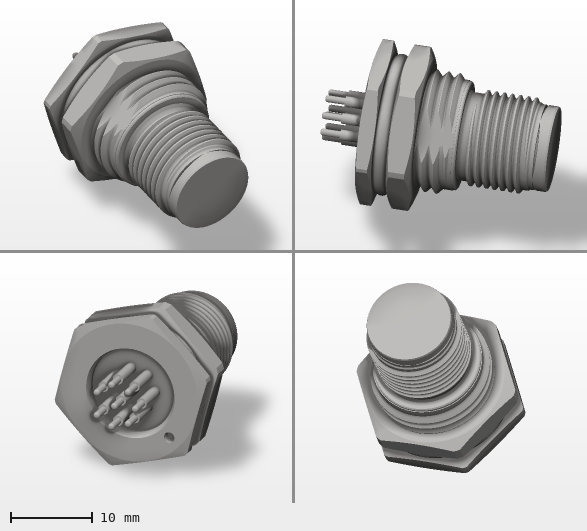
import cadquery as cq
import math


OVERALL_LENGTH = 28.5

HEX_APOTHEM = 9.0
HEX_TURN = -15.0
FLANGE_LENGTH = 2.0
FLANGE_CORNER_RADIUS = 10.25
FLANGE_FACE_RADIUS = 8.95
FLANGE_CHAMFER_LENGTH = 0.3
NUT_START = 3.75
NUT_LENGTH = 3.08
NUT_END = NUT_START + NUT_LENGTH
NUT_CORNER_RADIUS = 10.17
NUT_FACE_RADIUS = 8.7
NUT_CHAMFER_LENGTH = 0.55

SEAL_CENTRE = (FLANGE_LENGTH + NUT_START) / 2
SEAL_SECTION_RADIUS = (NUT_START - FLANGE_LENGTH) / 2
SEAL_OUTER_RADIUS = 8.78

PANEL_ROOT_RADIUS = 6.85
PANEL_CREST_RADIUS = 7.52
PANEL_END = 11.95
PANEL_LAND_START = 11.5
PANEL_LAND_RADIUS = 6.75
PANEL_CHAMFER = 0.15
PANEL_CREST_WIDTH = 0.09
PANEL_BASE_WIDTH = 1.3
PANEL_FIRST_CREST = 6.25
PANEL_LAST_CREST = 10.45
PANEL_TURNS = 3
PANEL_PITCH = (PANEL_LAST_CREST - PANEL_FIRST_CREST) / PANEL_TURNS
PANEL_LEAD_IN = 90.0
PANEL_LEAD_OUT = 120.0

FLAT_DISTANCE = 6.78
FLAT_TILT = 45.0

NECK_ROOT_RADIUS = 5.47
NECK_FLARE_RADIUS = 5.73
NECK_FLARE_LENGTH = 0.37
NECK_END = 20.85
NECK_CHAMFER = 0.17
NOSE_RADIUS = NECK_ROOT_RADIUS - NECK_CHAMFER
NOSE_END = 23.0
NOSE_CHAMFER_LENGTH = 0.23
NOSE_CHAMFER_DEPTH = 0.09
NOTCH_COUNT = 4
NOTCH_HALF_ANGLE = 44.0
NOTCH_START = 21.38
NOTCH_SLOPE = 0.22
NOTCH_FLOOR_RADIUS = 4.9
COUPLING_CREST_RADIUS = 5.98
COUPLING_PITCH = 1.0
COUPLING_CREST_WIDTH = 0.2
COUPLING_BASE_WIDTH = 0.8
COUPLING_FIRST_CREST = 13.2
COUPLING_TURNS = 7
COUPLING_LEAD_IN = 28.0
COUPLING_LEAD_OUT = 88.0

THREAD_FADE = 110.0
THREAD_SINK = 0.09
THREAD_POINTS_PER_TURN = 24

RECESS_DEPTH = 1.48
RECESS_TAPER_LENGTH = 0.9
RECESS_FLOOR_RADIUS = 5.45
RECESS_RIM_RADIUS = 5.8
RECESS_RIM_SHIFT = -0.09
MARKER_OFFSET = -5.2
MARKER_RADIUS = 0.68
MARKER_DEPTH = 1.15
PIN_END = NOSE_END - OVERALL_LENGTH
PIN_SHOULDER = -3.0
PIN_RADIUS = 0.65
PIN_TIP_RADIUS = 0.43
PIN_TIP_ROUNDING = 0.35
PIN_CIRCLE_RADIUS = 2.75
PIN_SPACING = 49.0
PINS_EACH_SIDE = 3


def revolve_about_x(points):
    """Solid of revolution from (x, radius) points."""
    return cq.Workplane("XY").polyline(points).close().revolve(360, (0, 0, 0), (1, 0, 0))


def cylinder(start, end, radius, y=0.0, z=0.0):
    """Cylinder along X between two stations."""
    return cq.Workplane("YZ", origin=(start, y, z)).circle(radius).extrude(end - start)


def chamfered_hexagon(start, length, corner_radius, face_radius, chamfer_length):
    """Hexagonal prism along X with turned corners and a conical chamfer at both ends."""
    end = start + length
    prism = (
        cq.Workplane("YZ", origin=(start, 0, 0))
        .polygon(6, 2 * HEX_APOTHEM / math.cos(math.pi / 6))
        .extrude(length)
        .rotate((0, 0, 0), (1, 0, 0), HEX_TURN)
    )
    envelope = revolve_about_x([
        (start, 0),
        (start, face_radius),
        (start + chamfer_length, corner_radius),
        (end - chamfer_length, corner_radius),
        (end, face_radius),
        (end, 0),
    ])
    return prism.intersect(envelope)


def thread_ridge(root, crest, pitch, crest_width, base_width, first_crest, turns, lead_in, lead_out):
    """Right-handed ridge that fades into the core at both ends; angles run from +Z towards -Y."""
    sweep = lead_in + 360.0 * turns + lead_out
    foot_radius = root - THREAD_SINK
    faded_radius = root - THREAD_SINK / 2
    flank_slope = (base_width - crest_width) / (2 * (crest - root))
    points = math.ceil(sweep / 360.0 * THREAD_POINTS_PER_TURN)

    def rail(side, on_crest):
        curve = []
        for i in range(points + 1):
            travel = sweep * i / points
            turn = travel - lead_in
            rise = min(1.0, travel / THREAD_FADE, (sweep - travel) / THREAD_FADE)
            crest_radius = faded_radius + rise * (crest - faded_radius)
            radius = crest_radius if on_crest else foot_radius
            half_width = crest_width / 2 + flank_slope * (crest_radius - radius)
            x = first_crest + pitch * turn / 360.0 + side * half_width
            angle = math.radians(turn)
            curve.append(cq.Vector(x, -radius * math.sin(angle), radius * math.cos(angle)))
        return cq.Edge.makeSpline(curve)

    rails = [rail(-1, False), rail(-1, True), rail(1, True), rail(1, False)]
    faces = [cq.Face.makeRuledSurface(rails[i], rails[(i + 1) % 4]) for i in range(4)]
    for corners in ([r.startPoint() for r in rails], [r.endPoint() for r in rails]):
        faces.append(cq.Face.makeFromWires(cq.Wire.makePolygon(corners, close=True)))
    return cq.Workplane(cq.Solid.makeSolid(cq.Shell.makeShell(faces)))


def core():
    """Turned body from the flange to the nose, without thread ridges."""
    return revolve_about_x([
        (0, 0),
        (0, PANEL_CREST_RADIUS),
        (NUT_START, PANEL_CREST_RADIUS),
        (NUT_START, PANEL_ROOT_RADIUS),
        (PANEL_LAND_START, PANEL_ROOT_RADIUS),
        (PANEL_LAND_START, PANEL_LAND_RADIUS),
        (PANEL_END - PANEL_CHAMFER, PANEL_LAND_RADIUS),
        (PANEL_END, PANEL_LAND_RADIUS - PANEL_CHAMFER),
        (PANEL_END, NECK_FLARE_RADIUS),
        (PANEL_END + NECK_FLARE_LENGTH, NECK_ROOT_RADIUS),
        (NECK_END - NECK_CHAMFER, NECK_ROOT_RADIUS),
        (NECK_END, NOSE_RADIUS),
        (NOSE_END - NOSE_CHAMFER_LENGTH, NOSE_RADIUS),
        (NOSE_END, NOSE_RADIUS - NOSE_CHAMFER_DEPTH),
        (NOSE_END, 0),
    ])


def seal():
    """Sealing ring that touches the flange and the nut."""
    ring_radius = SEAL_OUTER_RADIUS - SEAL_SECTION_RADIUS
    section = cq.Workplane("XY").center(SEAL_CENTRE, ring_radius).circle(SEAL_SECTION_RADIUS)
    return section.revolve(360, (0, -ring_radius), (1, -ring_radius))


def thread_flat():
    """Block that removes the side of the panel thread between the nut and the end land."""
    block = cq.Workplane("XY").box(
        PANEL_LAND_START - NUT_END, 2 * PANEL_CREST_RADIUS, PANEL_CREST_RADIUS, centered=(False, True, False)
    )
    return block.translate((NUT_END, 0, FLAT_DISTANCE)).rotate((0, 0, 0), (1, 0, 0), FLAT_TILT)


def nose_notches():
    """Crescent notches around the nose, each widest at its middle and running out to a point."""
    inner_height = NOSE_RADIUS * math.cos(math.radians(NOTCH_HALF_ANGLE))
    outer_height = NECK_ROOT_RADIUS
    far_end = NOTCH_START + NOTCH_SLOPE * (outer_height - inner_height)
    wedge = (
        cq.Workplane("XZ")
        .polyline([(NOTCH_START, inner_height), (NOTCH_START, outer_height), (far_end, outer_height)])
        .close()
        .extrude(outer_height, both=True)
    )
    notch = wedge.cut(cylinder(NOTCH_START, far_end, NOTCH_FLOOR_RADIUS))
    spacing = 360.0 / NOTCH_COUNT
    notches = notch.rotate((0, 0, 0), (1, 0, 0), spacing / 2)
    for i in range(1, NOTCH_COUNT):
        notches = notches.union(notch.rotate((0, 0, 0), (1, 0, 0), spacing * (i + 0.5)))
    return notches


def recess():
    """Round recess in the rear face; its tapered mouth has a rim slightly off centre."""
    mouth = (
        cq.Workplane("YZ")
        .center(RECESS_RIM_SHIFT, RECESS_RIM_SHIFT)
        .circle(RECESS_RIM_RADIUS)
        .workplane(offset=RECESS_TAPER_LENGTH)
        .center(-RECESS_RIM_SHIFT, -RECESS_RIM_SHIFT)
        .circle(RECESS_FLOOR_RADIUS)
        .loft()
    )
    return mouth.union(cylinder(RECESS_TAPER_LENGTH, RECESS_DEPTH, RECESS_FLOOR_RADIUS))


def pin(y, z):
    """Stepped contact pin with a rounded tip, standing on the recess floor."""
    tip = cylinder(PIN_END, PIN_SHOULDER, PIN_TIP_RADIUS, y, z).faces("<X").edges().fillet(PIN_TIP_ROUNDING)
    return tip.union(cylinder(PIN_SHOULDER, FLANGE_LENGTH, PIN_RADIUS, y, z))


panel_thread = thread_ridge(
    PANEL_ROOT_RADIUS, PANEL_CREST_RADIUS, PANEL_PITCH, PANEL_CREST_WIDTH, PANEL_BASE_WIDTH,
    PANEL_FIRST_CREST, PANEL_TURNS, PANEL_LEAD_IN, PANEL_LEAD_OUT,
)
coupling_thread = thread_ridge(
    NECK_ROOT_RADIUS, COUPLING_CREST_RADIUS, COUPLING_PITCH, COUPLING_CREST_WIDTH, COUPLING_BASE_WIDTH,
    COUPLING_FIRST_CREST, COUPLING_TURNS, COUPLING_LEAD_IN, COUPLING_LEAD_OUT,
)
flange = chamfered_hexagon(
    0, FLANGE_LENGTH, FLANGE_CORNER_RADIUS, FLANGE_FACE_RADIUS, FLANGE_CHAMFER_LENGTH
)
nut = chamfered_hexagon(NUT_START, NUT_LENGTH, NUT_CORNER_RADIUS, NUT_FACE_RADIUS, NUT_CHAMFER_LENGTH)

body = core().cut(nose_notches())
body = body.union(panel_thread).union(coupling_thread).cut(thread_flat())
body = body.union(flange).union(seal()).union(nut)
body = body.cut(recess()).cut(cylinder(0, MARKER_DEPTH, MARKER_RADIUS, MARKER_OFFSET, MARKER_OFFSET))

body = body.union(pin(0, 0))
for step in range(-PINS_EACH_SIDE, PINS_EACH_SIDE + 1):
    pin_angle = math.radians(step * PIN_SPACING)
    body = body.union(pin(-PIN_CIRCLE_RADIUS * math.cos(pin_angle), PIN_CIRCLE_RADIUS * math.sin(pin_angle)))

result = body